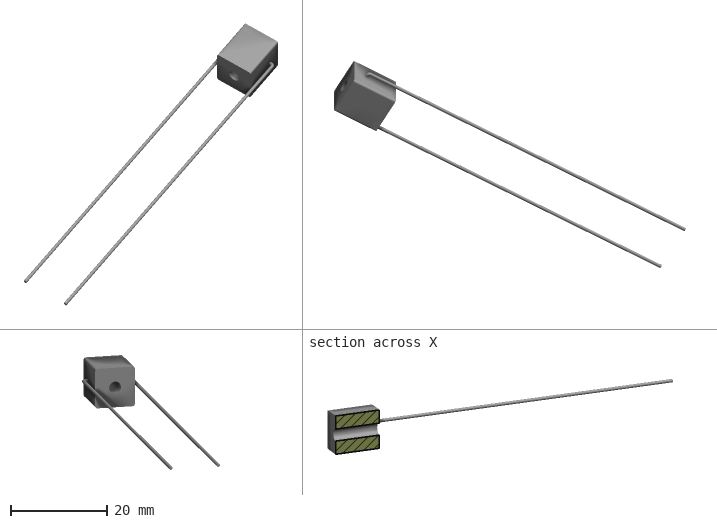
import cadquery as cq

overall_length = 78.5
housing_side = 8.5
housing_length = 10.0
edge_radius = 0.5

bore_diameter = 2.5

overall_width = 10.8
wire_diameter = 0.7
wire_radius = wire_diameter / 2
bend_radius = 0.5
wire_embed = 0.4
stub_setback = 3.0

housing_back = overall_length / 2
wire_tip = -overall_length / 2


def make_housing():
    block = (
        cq.Workplane("XY")
        .box(housing_side, housing_length, housing_side)
        .edges("|Y")
        .fillet(edge_radius)
        .translate((0, housing_back - housing_length / 2, 0))
    )
    return block.faces("<Y").workplane(centerOption="CenterOfMass").hole(bore_diameter)


def make_right_lead():
    """Wire leaving the +X side, then bending to run toward -Y."""
    start_x = housing_side / 2 - wire_embed
    lead_x = overall_width / 2 - wire_radius
    stub_y = housing_back - stub_setback
    path = (
        cq.Workplane("XY")
        .moveTo(start_x, stub_y)
        .lineTo(lead_x - bend_radius, stub_y)
        .tangentArcPoint((lead_x, stub_y - bend_radius), relative=False)
        .lineTo(lead_x, wire_tip)
    )
    return (
        cq.Workplane("YZ", origin=(start_x, stub_y, 0))
        .circle(wire_radius)
        .sweep(path)
    )


right_lead = make_right_lead()
left_lead = right_lead.mirror("YZ")
result = make_housing().union(right_lead).union(left_lead)